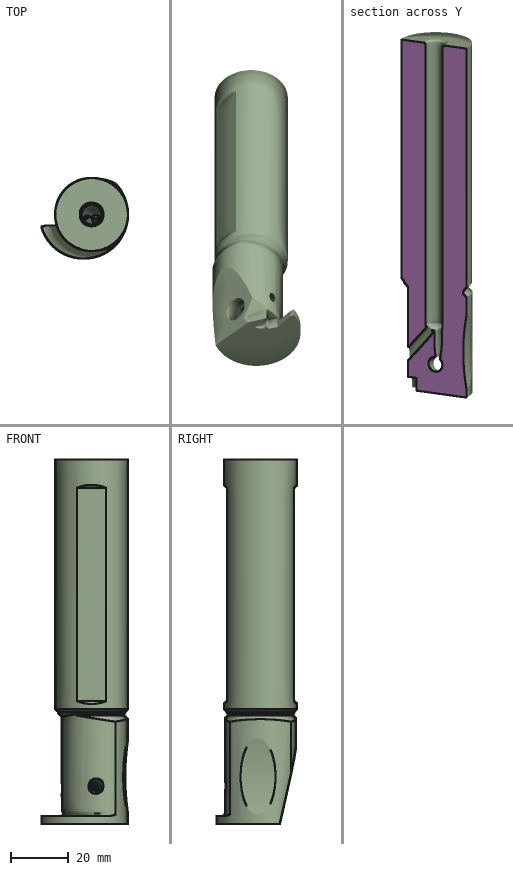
import cadquery as cq
import math

total_height = 126.5
shank_radius = 12.7
shank_bottom = 40.0
cut_size = 60.0

flat_half_width = 5.0
flat_bottom = 42.7
flat_top = 116.6
flat_distance = math.sqrt(shank_radius**2 - flat_half_width**2)
flat_depth = shank_radius - flat_distance

shank_chamfer = 0.95
shank_land_width = 0.4
land_radius = shank_radius - shank_chamfer
land_top = shank_bottom - shank_chamfer
land_bottom = land_top - shank_land_width

groove_radius = 11.3
groove_floor_width = 0.5
groove_top = land_bottom - (land_radius - groove_radius)
head_top = groove_top - groove_floor_width

neck_center_x = 2.0
neck_radius = 12.35
swing_radius = 15.33
tip_x = -17.45
tip_y = -4.3
swing_center_x = tip_x + math.sqrt(swing_radius**2 - tip_y**2)
plate_thickness = 2.9
plate_fillet = 0.8

rake_y = -3.8
rake_relief_length = 1.5

slot_height = 4.6
slot_step_x = -7.0
slot_step_y = -2.1
slot_arc_y = -0.75
slot_wall_y = 1.9
rake_inner_x = -9.5
gullet_ridge = (-9.6, 2.1)
gullet_end = (-3.6, 5.6)
gullet_ceiling_base = -6.1
gullet_slope_x = -0.83
gullet_slope_y = 1.09

back_base = 5.65
back_slope_x = 0.094
back_slope_z = 0.24
back_normal = (-back_slope_x, 1.0, -back_slope_z)

relief_radius = 70.0
relief_depth = 1.25
relief_z = 16.5
relief_angle = 3.5

bore_radius = 3.45
bore_mouth_radius = 4.1
bore_tip_z = 22.0
bore_tip_angle = 118.0
bore_cone_height = bore_radius / math.tan(math.radians(bore_tip_angle / 2))
screw_hole_radius = 2.55
screw_entry = (1.4, -10.9, 12.9)
screw_head_radius = 4.2
screw_head_depth = 4.0
side_coolant_radius = 1.5
side_coolant_start = (-1.4, -1.9, 23.0)
side_coolant_exit = (neck_center_x - neck_radius, -0.75, 12.5)
inner_coolant_radius = 1.4
inner_coolant_start = (1.6, -1.7, 24.0)
inner_coolant_end = (1.4, 0.3, 10.2)
drill_overrun = 3.0


def disc(center_x, radius, height):
    return cq.Workplane("XY").center(center_x, 0).circle(radius).extrude(height)


def half_space(point, normal):
    """Large block on the side of a plane that its normal points to."""
    plane = cq.Plane(origin=point, normal=normal)
    return cq.Workplane(plane).rect(2 * cut_size, 2 * cut_size).extrude(cut_size)


def make_shank():
    shank = (
        cq.Workplane("XZ")
        .moveTo(0, land_bottom - land_radius)
        .lineTo(land_radius, land_bottom)
        .lineTo(land_radius, land_top)
        .lineTo(shank_radius, shank_bottom)
        .lineTo(shank_radius, total_height)
        .lineTo(0, total_height)
        .close()
        .revolve(360, (0, 0, 0), (0, 1, 0))
    )
    for side in (-1, 1):
        shank = shank.cut(make_flat_cutter(side))
    return shank


def make_flat_cutter(side):
    """Flat with 45 degree run-outs at both ends."""
    return (
        cq.Workplane("YZ")
        .polyline([
            (side * flat_distance, flat_bottom),
            (side * flat_distance, flat_top),
            (side * shank_radius, flat_top + flat_depth),
            (side * shank_radius, flat_bottom - flat_depth),
        ])
        .close()
        .extrude(shank_radius, both=True)
    )


def make_head():
    swing = disc(swing_center_x, swing_radius, shank_bottom)
    taper_bottom = head_top - (swing_radius - groove_radius)
    tapered = (
        cq.Workplane("XZ")
        .polyline([
            (0, 0),
            (swing_radius, 0),
            (swing_radius, taper_bottom),
            (groove_radius, head_top),
            (groove_radius, groove_top),
            (0, groove_top),
        ])
        .close()
        .revolve(360, (0, 0, 0), (0, 1, 0))
    )
    neck = disc(neck_center_x, neck_radius, shank_bottom).intersect(tapered)
    neck = neck.intersect(swing)
    return neck.union(make_plate()).union(make_plate_fillet().intersect(swing))


def make_plate():
    plate = disc(swing_center_x, swing_radius, plate_thickness)
    front = (
        cq.Workplane("XY")
        .polyline([
            (tip_x, tip_y),
            (tip_x + rake_relief_length, rake_y),
            (cut_size, rake_y),
            (cut_size, -cut_size),
            (-cut_size, -cut_size),
            (-cut_size, tip_y),
        ])
        .close()
        .extrude(plate_thickness)
    )
    return plate.intersect(front)


def make_plate_fillet():
    """Concave ring between the neck and the plate, on the plate side only."""
    fillet_top = plate_thickness + plate_fillet
    arc_offset = plate_fillet * (1 - math.sqrt(0.5))
    ring = (
        cq.Workplane("XZ", origin=(neck_center_x, 0, 0))
        .moveTo(0, 0)
        .lineTo(neck_radius + plate_fillet, 0)
        .lineTo(neck_radius + plate_fillet, plate_thickness)
        .threePointArc(
            (neck_radius + arc_offset, plate_thickness + arc_offset),
            (neck_radius, fillet_top),
        )
        .lineTo(0, fillet_top)
        .close()
        .revolve(360, (0, 0, 0), (0, 1, 0))
    )
    return ring.intersect(half_space((0, rake_y, 0), (0, -1, 0)))


def make_slot_cutter():
    arc_radius = slot_wall_y - slot_arc_y
    arc_mid = arc_radius * math.sqrt(0.5)
    return (
        cq.Workplane("XY")
        .moveTo(-cut_size, rake_y)
        .lineTo(rake_inner_x, rake_y)
        .lineTo(slot_step_x, slot_step_y)
        .lineTo(slot_step_x, slot_arc_y)
        .threePointArc(
            (slot_step_x + arc_mid, slot_wall_y - arc_mid),
            (slot_step_x + arc_radius, slot_wall_y),
        )
        .lineTo(-cut_size, slot_wall_y)
        .close()
        .extrude(slot_height)
    )


def make_gullet_cutter():
    run_x = gullet_end[0] - gullet_ridge[0]
    run_y = gullet_end[1] - gullet_ridge[1]
    outside_wall = half_space((*gullet_ridge, 0), (-run_y, run_x, 0))
    below_ceiling = half_space(
        (0, 0, gullet_ceiling_base), (gullet_slope_x, gullet_slope_y, -1)
    )
    behind_slot = half_space((0, slot_wall_y, 0), (0, 1, 0))
    return outside_wall.intersect(below_ceiling).intersect(behind_slot)


def make_back_cutter():
    below_shank = cq.Workplane("XY").rect(cut_size, cut_size).extrude(groove_top)
    return half_space((0, back_base, 0), back_normal).intersect(below_shank)


def make_relief_cutter():
    axis_distance = swing_radius - relief_depth + relief_radius
    return (
        cq.Workplane("XZ", origin=(axis_distance, 0, relief_z))
        .circle(relief_radius)
        .extrude(cut_size / 2, both=True)
        .rotate((0, 0, 0), (0, 0, 1), -relief_angle)
        .translate((swing_center_x, 0, 0))
    )


def make_bore_cutter():
    mouth_depth = bore_mouth_radius - bore_radius
    return (
        cq.Workplane("XZ")
        .moveTo(0, bore_tip_z)
        .lineTo(bore_radius, bore_tip_z + bore_cone_height)
        .lineTo(bore_radius, total_height - mouth_depth)
        .lineTo(bore_mouth_radius, total_height)
        .lineTo(0, total_height)
        .close()
        .revolve(360, (0, 0, 0), (0, 1, 0))
    )


def make_drill(radius, start, direction, length):
    return cq.Workplane(obj=cq.Solid.makeCylinder(radius, length, start, direction))


def make_screw_hole_cutter():
    """Through hole square to the sloping back face, counterbored from that face."""
    entry = cq.Vector(*screw_entry)
    axis = cq.Vector(*back_normal).normalized()
    to_back_face = (cq.Vector(0, back_base, 0) - entry).dot(axis)
    head_seat = entry + axis * (to_back_face - screw_head_depth)
    hole = make_drill(screw_hole_radius, entry - axis * drill_overrun, axis, cut_size)
    head = make_drill(screw_head_radius, head_seat, axis, cut_size)
    return hole.union(head)


def make_coolant_cutter(radius, start, end, overrun):
    """Drilled hole between two points, starting in the bore's conical end."""
    start = cq.Vector(*start)
    span = cq.Vector(*end) - start
    return make_drill(radius, start, span, span.Length + overrun)


result = make_head()
for cutter in (make_slot_cutter(), make_gullet_cutter(), make_back_cutter(), make_relief_cutter()):
    result = result.cut(cutter)
result = result.union(make_shank())
result = result.cut(make_bore_cutter()).cut(make_screw_hole_cutter())
result = result.cut(
    make_coolant_cutter(side_coolant_radius, side_coolant_start, side_coolant_exit, drill_overrun)
)
result = result.cut(
    make_coolant_cutter(inner_coolant_radius, inner_coolant_start, inner_coolant_end, 0)
)